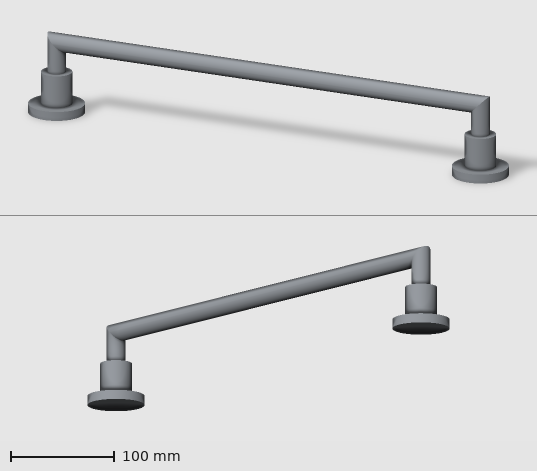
import cadquery as cq

overall_length = 505.0
overall_height = 80.0

flange_diameter = 55.0
flange_thickness = 9.0
collar_diameter = 30.4
collar_top = 41.0
bar_diameter = 18.0

bar_radius = bar_diameter / 2
mount_x = (overall_length - flange_diameter) / 2
rail_axis_z = overall_height - bar_radius
collar_height = collar_top - flange_thickness
socket_floor_z = flange_thickness


def make_bar():
    """Round U-shaped bar with sharp mitred corners; its legs reach the socket floors."""
    centreline = cq.Workplane("XZ").polyline([
        (-mount_x, socket_floor_z),
        (-mount_x, rail_axis_z),
        (mount_x, rail_axis_z),
        (mount_x, socket_floor_z),
    ])
    leg_end = cq.Workplane("XY", origin=(-mount_x, 0, socket_floor_z)).circle(bar_radius)
    return leg_end.sweep(centreline, transition="right")


def make_mount(x):
    """Round flange carrying a tubular collar, whose bore is the socket for one leg of the bar."""
    flange = cq.Workplane("XY", origin=(x, 0, 0)).circle(flange_diameter / 2).extrude(flange_thickness)
    collar = (
        cq.Workplane("XY", origin=(x, 0, socket_floor_z))
        .circle(collar_diameter / 2)
        .circle(bar_radius)
        .extrude(collar_height)
    )
    return flange.union(collar)


bar = make_bar()
mounts = [make_mount(side * mount_x) for side in (-1, 1)]

result = cq.Compound.makeCompound([bar.val(), *[mount.val() for mount in mounts]])